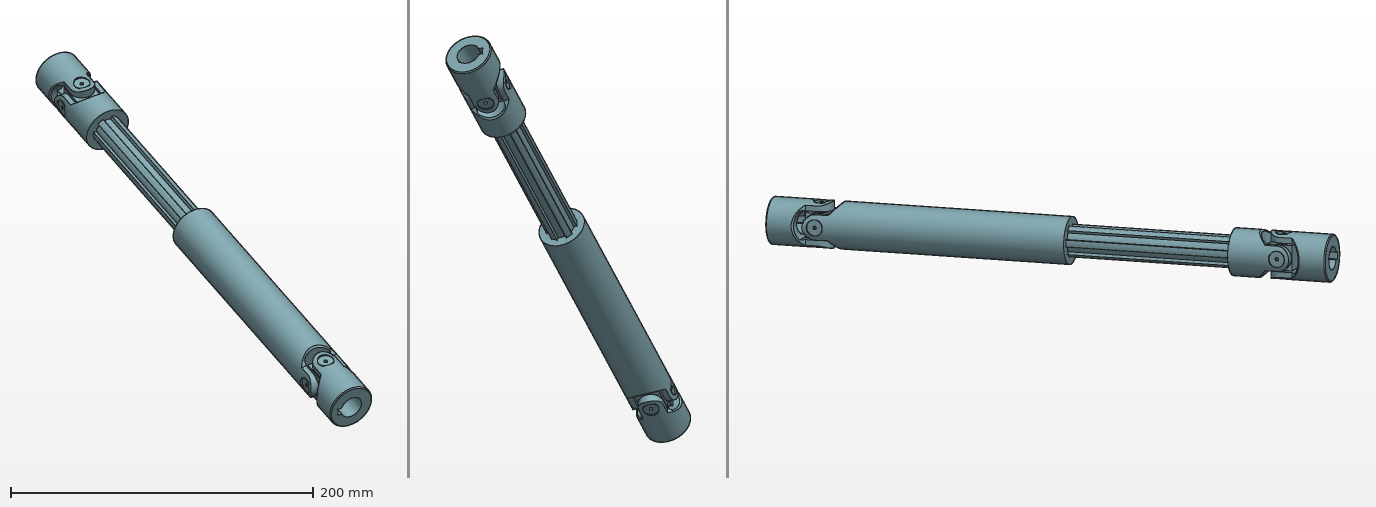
import cadquery as cq
import math


TOTAL_LENGTH = 390.0
BODY_DIAMETER = 32.0
BODY_RADIUS = BODY_DIAMETER / 2

JOINT_OFFSET = 34.0
ARM_HALF_WIDTH = 8.5
SHOULDER_START = 8.5
SLOT_HALF_WIDTH = 9.8
SLOT_DEPTH = 15.0
SLOT_FLOOR_RADIUS = 16.0

PIN_DIAMETER = 11.0
PIN_SPAN = 29.5
CENTRE_HOLE_DIAMETER = 2.2
CENTRE_HOLE_DEPTH = 2.0

BORE_DIAMETER = 15.5
KEYWAY_WIDTH = 5.0
KEYWAY_REACH = 10.0
END_CHAMFER = 0.8

SPLINE_TEETH = 6
SPLINE_OUTER_RADIUS = 11.0
SPLINE_ROOT_RADIUS = 9.0
SPLINE_TOOTH_WIDTH = 4.5
SLEEVE_START = 182.0
SPLINE_END = 337.5

LEFT_JOINT = JOINT_OFFSET
RIGHT_JOINT = TOTAL_LENGTH - JOINT_OFFSET
SHAFT_YOKE_END = LEFT_JOINT + JOINT_OFFSET


def round_bar(start, end, radius):
    """Cylinder on the X axis."""
    return cq.Workplane("YZ", origin=(start, 0, 0)).circle(radius).extrude(end - start)


def fork(shank_length):
    """Fork with its joint centre at the origin, arms at +Z and -Z, and its shank towards -X."""
    shoulder_end = SHOULDER_START + BODY_RADIUS - ARM_HALF_WIDTH
    outline = (
        cq.Workplane("XY", origin=(0, 0, -BODY_RADIUS))
        .moveTo(-shank_length, -BODY_RADIUS)
        .lineTo(-shoulder_end, -BODY_RADIUS)
        .lineTo(-SHOULDER_START, -ARM_HALF_WIDTH)
        .lineTo(0, -ARM_HALF_WIDTH)
        .threePointArc((ARM_HALF_WIDTH, 0), (0, ARM_HALF_WIDTH))
        .lineTo(-SHOULDER_START, ARM_HALF_WIDTH)
        .lineTo(-shoulder_end, BODY_RADIUS)
        .lineTo(-shank_length, BODY_RADIUS)
        .close()
        .extrude(BODY_DIAMETER)
    )
    floor_rise = SLOT_FLOOR_RADIUS - math.sqrt(SLOT_FLOOR_RADIUS**2 - SLOT_HALF_WIDTH**2)
    floor_corner = SLOT_DEPTH - floor_rise
    slot = (
        cq.Workplane("XZ", origin=(0, BODY_RADIUS, 0))
        .moveTo(ARM_HALF_WIDTH, SLOT_HALF_WIDTH)
        .lineTo(-floor_corner, SLOT_HALF_WIDTH)
        .threePointArc((-SLOT_DEPTH, 0), (-floor_corner, -SLOT_HALF_WIDTH))
        .lineTo(ARM_HALF_WIDTH, -SLOT_HALF_WIDTH)
        .close()
        .extrude(BODY_DIAMETER)
    )
    pin_hole = cq.Workplane("XY").circle(PIN_DIAMETER / 2).extrude(BODY_RADIUS, both=True)
    return round_bar(-shank_length, ARM_HALF_WIDTH, BODY_RADIUS).intersect(outline).cut(slot).cut(pin_hole)


def end_hub():
    """End fork with a keyed bore that opens into the slot; keyway on the -Y side."""
    bore = round_bar(-JOINT_OFFSET, 0, BORE_DIAMETER / 2)
    keyway = cq.Workplane("XY").box(
        JOINT_OFFSET, KEYWAY_REACH, KEYWAY_WIDTH, centered=(False, False, True)
    ).translate((-JOINT_OFFSET, -KEYWAY_REACH, 0))
    return fork(JOINT_OFFSET).faces("<X").edges().chamfer(END_CHAMFER).cut(bore).cut(keyway)


def joint_cross():
    """Cube with four pins along Y and Z, each pin end centre-drilled."""
    cross = cq.Workplane("XY").box(2 * ARM_HALF_WIDTH, 2 * ARM_HALF_WIDTH, 2 * ARM_HALF_WIDTH)
    for plane in ("XY", "XZ"):
        cross = cross.union(cq.Workplane(plane).circle(PIN_DIAMETER / 2).extrude(PIN_SPAN / 2, both=True))
    for plane in ("XY", "XZ"):
        for side in (-1, 1):
            centre_hole = (
                cq.Workplane(plane)
                .workplane(offset=side * PIN_SPAN / 2)
                .circle(CENTRE_HOLE_DIAMETER / 2)
                .extrude(-side * CENTRE_HOLE_DEPTH)
            )
            cross = cross.cut(centre_hole)
    return cross


def spline_bar(start, end):
    """Straight-sided spline on the X axis, with teeth at +Y and -Y."""
    bar = round_bar(start, end, SPLINE_ROOT_RADIUS)
    tooth = (
        cq.Workplane("YZ", origin=(start, 0, 0))
        .rect(2 * SPLINE_OUTER_RADIUS, SPLINE_TOOTH_WIDTH)
        .extrude(end - start)
    )
    for i in range(SPLINE_TEETH // 2):
        bar = bar.union(tooth.rotate((0, 0, 0), (1, 0, 0), i * 360 / SPLINE_TEETH))
    return bar.intersect(round_bar(start, end, SPLINE_OUTER_RADIUS))


def inner_fork(shank_length):
    """Fork turned a quarter turn about X, so that its arms are at +Y and -Y."""
    return fork(shank_length).rotate((0, 0, 0), (1, 0, 0), 90)


left_hub = end_hub().translate((LEFT_JOINT, 0, 0))
right_hub = end_hub().mirror("YZ").translate((RIGHT_JOINT, 0, 0))

crosses = [joint_cross().translate((x, 0, 0)) for x in (LEFT_JOINT, RIGHT_JOINT)]

splined_shaft = (
    inner_fork(JOINT_OFFSET)
    .mirror("YZ")
    .translate((LEFT_JOINT, 0, 0))
    .union(spline_bar(SHAFT_YOKE_END, SPLINE_END))
)

sleeve = (
    inner_fork(RIGHT_JOINT - SLEEVE_START)
    .translate((RIGHT_JOINT, 0, 0))
    .cut(spline_bar(SLEEVE_START, SPLINE_END))
)

result = cq.Compound.makeCompound(
    [
        left_hub.val(),
        right_hub.val(),
        *[cross.val() for cross in crosses],
        splined_shaft.val(),
        sleeve.val(),
    ]
)